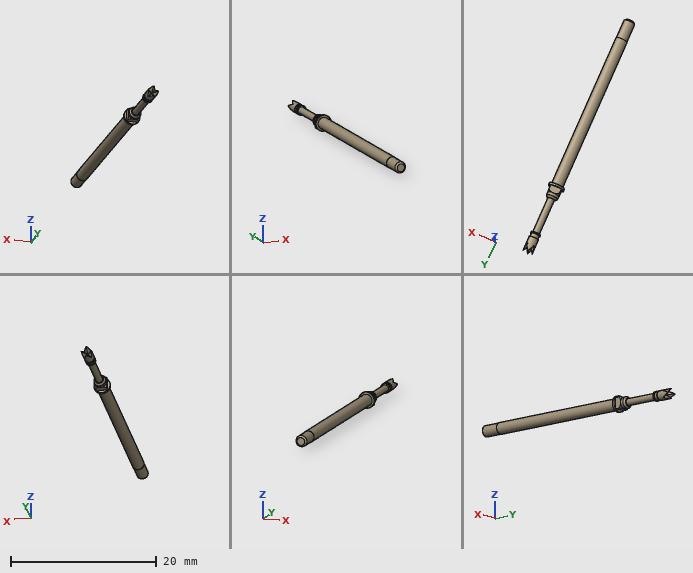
import cadquery as cq
import math

TOTAL_LENGTH = 35.8
FRONT_LENGTH = 10.27

BARREL_DIAMETER = 1.7
TAIL_DIAMETER = 1.6
TAIL_LENGTH = 2.97
TAIL_CHAMFER = 0.25
FLANGE_DIAMETER = 2.3
FLANGE_THICKNESS = 0.32

SQUARE_SIDE = 1.6
SQUARE_LENGTH = 0.95
SQUARE_CHAMFER_LENGTH = 0.32
COLLAR_LENGTH = 0.43
COLLAR_NOSE_LENGTH = 0.32
COLLAR_NOSE_DIAMETER = 1.2

CROWN_DIAMETER = 1.4
ROD_DIAMETER = 1.0
RING_DIAMETER = CROWN_DIAMETER
RING_LENGTH = 0.2
NECK_DIAMETER = 1.2
NECK_LENGTH = 0.55
WAIST_DIAMETER = 1.18
WAIST_TO_CROWN = 0.32
CROWN_LENGTH = 2.2
NOTCH_DEPTH = 1.1
NOTCH_ANGLES = (45, 135)

tail_end = FRONT_LENGTH - TOTAL_LENGTH
barrel_end = tail_end + TAIL_LENGTH
square_start = FLANGE_THICKNESS
square_end = square_start + SQUARE_LENGTH
collar_end = square_end + COLLAR_LENGTH
nose_end = collar_end + COLLAR_NOSE_LENGTH
crown_start = FRONT_LENGTH - CROWN_LENGTH
neck_start = crown_start - NECK_LENGTH
waist = crown_start - WAIST_TO_CROWN
ring_start = neck_start - RING_LENGTH


def cylinder(diameter, start, end):
    """Cylinder on the Y axis between two stations."""
    return cq.Workplane("XZ", origin=(0, start, 0)).circle(diameter / 2).extrude(start - end)


def cone(start_diameter, start, end_diameter, end):
    """Truncated cone on the Y axis between two stations."""
    solid = cq.Solid.makeCone(
        start_diameter / 2,
        end_diameter / 2,
        end - start,
        pnt=cq.Vector(0, start, 0),
        dir=cq.Vector(0, 1, 0),
    )
    return cq.Workplane(obj=solid)


def make_barrel():
    tail = cylinder(TAIL_DIAMETER, tail_end, barrel_end).faces("<Y").chamfer(TAIL_CHAMFER)
    barrel = cylinder(BARREL_DIAMETER, barrel_end, 0)
    flange = cylinder(FLANGE_DIAMETER, 0, FLANGE_THICKNESS)
    return tail.union(barrel).union(flange)


def make_square():
    """Square section whose front corners are turned down to the collar diameter."""
    corner_diameter = SQUARE_SIDE * math.sqrt(2)
    chamfer_start = square_end - SQUARE_CHAMFER_LENGTH
    square = cq.Workplane("XZ", origin=(0, square_start, 0)).rect(SQUARE_SIDE, SQUARE_SIDE)
    square = square.extrude(-SQUARE_LENGTH)
    envelope = cylinder(corner_diameter, square_start, chamfer_start)
    envelope = envelope.union(cone(corner_diameter, chamfer_start, BARREL_DIAMETER, square_end))
    return square.intersect(envelope)


def make_collar():
    collar = cylinder(BARREL_DIAMETER, square_end, collar_end)
    return collar.union(cone(BARREL_DIAMETER, collar_end, COLLAR_NOSE_DIAMETER, nose_end))


def make_crown():
    """Four-pointed crown left by two V-grooves crossing on the axis."""
    crown = cylinder(CROWN_DIAMETER, crown_start, FRONT_LENGTH)
    half_width = CROWN_DIAMETER / 2 * math.sin(math.radians(45))
    groove = (
        cq.Workplane("XY")
        .moveTo(0, FRONT_LENGTH - NOTCH_DEPTH)
        .lineTo(half_width, FRONT_LENGTH)
        .lineTo(-half_width, FRONT_LENGTH)
        .close()
        .extrude(CROWN_DIAMETER, both=True)
    )
    for angle in NOTCH_ANGLES:
        crown = crown.cut(groove.rotate((0, 0, 0), (0, 1, 0), angle))
    return crown


def make_plunger():
    rod = cylinder(ROD_DIAMETER, nose_end, ring_start)
    ring = cylinder(RING_DIAMETER, ring_start, neck_start)
    neck = cone(NECK_DIAMETER, neck_start, WAIST_DIAMETER, waist)
    neck = neck.union(cone(WAIST_DIAMETER, waist, NECK_DIAMETER, crown_start))
    return rod.union(ring).union(neck).union(make_crown())


result = make_barrel().union(make_square()).union(make_collar()).union(make_plunger())